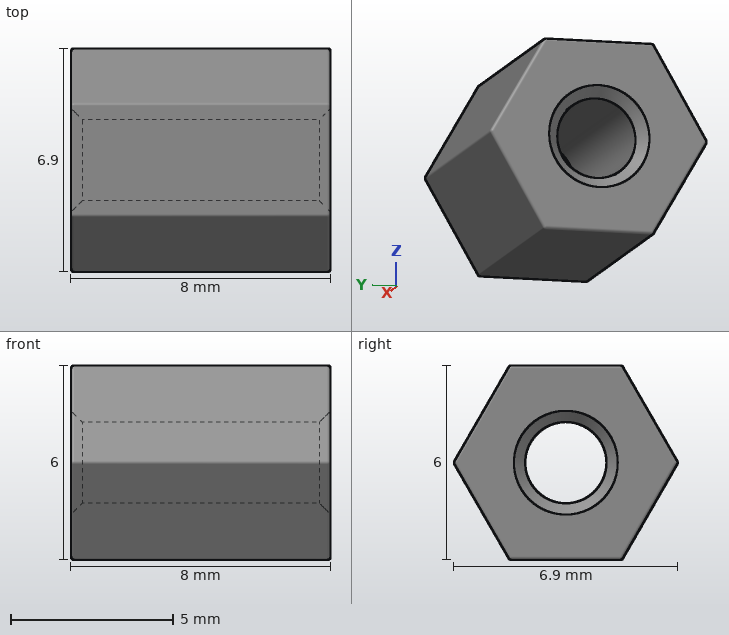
import cadquery as cq
import math

length = 8.0
across_flats = 6.0
across_corners = across_flats / math.cos(math.radians(30))
edge_radius = 0.1

bore_diameter = 2.5
countersink_diameter = 3.2
countersink_depth = (countersink_diameter - bore_diameter) / 2


def hexagonal_body():
    """Hexagonal bar centred on the origin, with every outer edge rounded."""
    return (
        cq.Workplane("YZ")
        .polygon(6, across_corners)
        .extrude(length / 2, both=True)
        .edges()
        .fillet(edge_radius)
    )


def countersunk_bore():
    """Solid of revolution about X that removes the bore and both countersinks."""
    end = length / 2
    bore_end = end - countersink_depth
    bore_radius = bore_diameter / 2
    mouth_radius = countersink_diameter / 2
    return (
        cq.Workplane("XY")
        .moveTo(-end, 0)
        .lineTo(-end, mouth_radius)
        .lineTo(-bore_end, bore_radius)
        .lineTo(bore_end, bore_radius)
        .lineTo(end, mouth_radius)
        .lineTo(end, 0)
        .close()
        .revolve(360, (0, 0, 0), (1, 0, 0))
    )


result = hexagonal_body().cut(countersunk_bore())